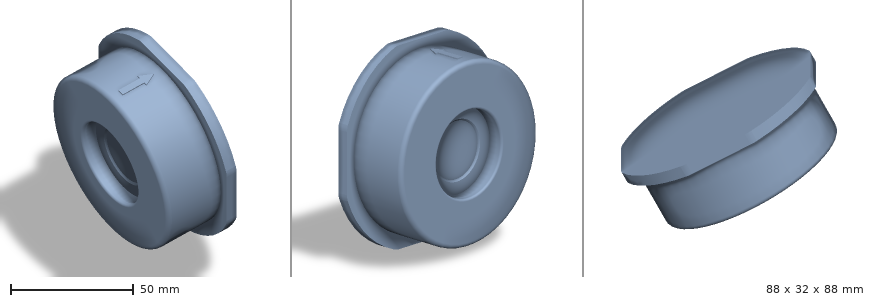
import cadquery as cq

LENGTH = 32.0
BARREL_RADIUS = 40.0
BARREL_EDGE_FILLET = 2.0

FLANGE_THICKNESS = 5.0
FLANGE_RADIUS = 46.5
FLANGE_ACROSS_FLATS = 88.0
FLANGE_CORNER_FILLET = 8.0
FLANGE_START = LENGTH - FLANGE_THICKNESS

BORE_RADIUS = 19.0
BORE_EDGE_FILLET = 1.0

DISC_START = 7.0
DISC_RADIUS = BORE_RADIUS
DISC_THICKNESS = LENGTH - DISC_START
DISH_RADIUS = 13.4
DISH_DEPTH = 0.8
DISH_FLOOR_RADIUS = DISH_RADIUS - DISH_DEPTH

ARROW_TAIL = 5.5
ARROW_LENGTH = 17.0
ARROW_HEAD_LENGTH = 6.0
ARROW_HEAD_HALF_WIDTH = 3.0
ARROW_SHAFT_HALF_WIDTH = ARROW_HEAD_HALF_WIDTH / 2
ARROW_HEIGHT = 0.5
ARROW_TIP = ARROW_TAIL + ARROW_LENGTH
ARROW_HEAD_BASE = ARROW_TIP - ARROW_HEAD_LENGTH
ARROW_ROOT_OVERLAP = 1.0


def cylinder(radius, start, length):
    """Cylinder on the Y axis, growing toward +Y from the given start."""
    plane = cq.Workplane("XZ", origin=(0, start, 0))
    return plane.circle(radius).extrude(-length)


def make_flange():
    """Round flange cut to four flats, with blended corners."""
    blank = cylinder(FLANGE_RADIUS, FLANGE_START, FLANGE_THICKNESS)
    square = cq.Workplane("XZ", origin=(0, FLANGE_START, 0))
    square = square.rect(FLANGE_ACROSS_FLATS, FLANGE_ACROSS_FLATS).extrude(-FLANGE_THICKNESS)
    flange = blank.intersect(square)
    return flange.edges("|Y").fillet(FLANGE_CORNER_FILLET)


def make_arrow():
    """Flat-topped arrow standing proud of the barrel."""
    right_side = [
        (ARROW_SHAFT_HALF_WIDTH, ARROW_TAIL),
        (ARROW_SHAFT_HALF_WIDTH, ARROW_HEAD_BASE),
        (ARROW_HEAD_HALF_WIDTH, ARROW_HEAD_BASE),
    ]
    left_side = [(-x, y) for x, y in reversed(right_side)]
    outline = right_side + [(0, ARROW_TIP)] + left_side
    root = cq.Workplane("XY", origin=(0, 0, BARREL_RADIUS - ARROW_ROOT_OVERLAP))
    return root.polyline(outline).close().extrude(ARROW_HEIGHT + ARROW_ROOT_OVERLAP)


def make_housing():
    """Barrel with flange, through bore and flow arrow."""
    barrel = cylinder(BARREL_RADIUS, 0, LENGTH)
    bore = cylinder(BORE_RADIUS, 0, LENGTH)
    barrel = barrel.faces("<Y").edges().fillet(BARREL_EDGE_FILLET)
    barrel = barrel.cut(bore)
    bore_rim = cq.selectors.RadiusNthSelector(0)
    barrel = barrel.faces("<Y").edges(bore_rim).fillet(BORE_EDGE_FILLET)
    flange = make_flange().cut(bore)
    return barrel.union(flange).union(make_arrow())


def make_disc():
    """Closing disc with a shallow, cone-sided dish in its front face."""
    plug = cylinder(DISC_RADIUS, DISC_START, DISC_THICKNESS)
    dish = cq.Workplane("XZ", origin=(0, DISC_START, 0)).circle(DISH_RADIUS)
    dish = dish.workplane(offset=-DISH_DEPTH).circle(DISH_FLOOR_RADIUS).loft()
    return plug.cut(dish)


housing = make_housing()
disc = make_disc()

result = cq.Compound.makeCompound([housing.val(), disc.val()])